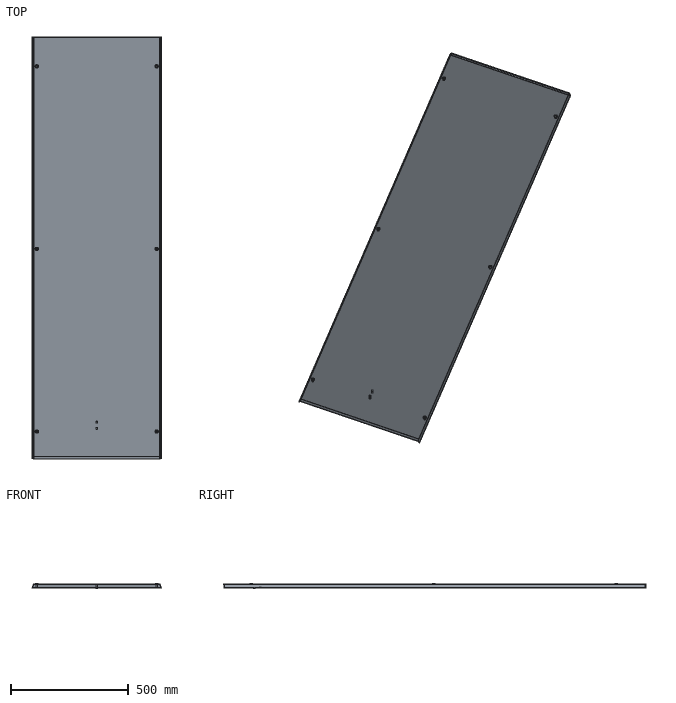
import cadquery as cq

overall_width = 549.88
overall_length = 1796.01
overall_height = 22.5
sheet = 1.0

panel_depth = 16.0
flange_lean = 6.0
flange_setback = 2.0
hem_depth = 11.5
rear_wall_inset = 2.0

head_height = 3.0
head_base_radius = 7.0
head_top_radius = 4.0
shank_radius = 3.5
shank_length = 15.0
screw_half_span = 255.0
screw_pitch = 777.0
middle_screw_y = -4.0

stud_radius = 4.0
long_stud_y = -768.0
stud_spacing = 27.0
short_stud_drop = 13.0

half_width = overall_width / 2
half_top = half_width - flange_lean
front_y = -overall_length / 2
rear_y = overall_length / 2
long_stud_drop = overall_height - head_height
screw_points = [
    (side * screw_half_span, middle_screw_y + step * screw_pitch)
    for side in (-1, 1)
    for step in (-1, 0, 1)
]


def extrude_along_y(points, start_y, end_y):
    """Extrude a closed XZ outline from start_y to end_y."""
    outline = cq.Workplane("XZ", origin=(0, start_y, 0)).polyline(points).close()
    return outline.extrude(start_y - end_y)


def make_top_sheet():
    size_y = rear_y - front_y
    return cq.Workplane("XY").box(2 * half_top, size_y, sheet).translate((0, 0, -sheet / 2))


def make_side_flange(side):
    """Leaning flange on the -X (side = -1) or +X (side = 1) edge."""
    points = [
        (side * half_top, 0),
        (side * half_width, -panel_depth),
        (side * (half_width - sheet), -panel_depth),
        (side * (half_top - sheet), -sheet),
        (side * (half_top - sheet), 0),
    ]
    return extrude_along_y(points, front_y + flange_setback, rear_y)


def make_rear_wall():
    """Wall across the rear end that fills the space between the flanges."""
    points = [
        (-half_top, 0),
        (half_top, 0),
        (half_width, -panel_depth),
        (-half_width, -panel_depth),
    ]
    wall_rear_y = rear_y - rear_wall_inset
    return extrude_along_y(points, wall_rear_y - sheet, wall_rear_y)


def make_front_hem():
    hem = cq.Workplane("XY").box(2 * (half_top - sheet), hem_depth, sheet)
    return hem.translate((0, front_y + hem_depth / 2, -1.5 * sheet))


def make_stud(y, drop):
    """Stud welded under the sheet, reaching down to Z = -drop."""
    base = cq.Workplane("XY", origin=(0, y, -sheet))
    return base.circle(stud_radius).extrude(sheet - drop)


def make_panel():
    panel = make_top_sheet()
    for side in (-1, 1):
        panel = panel.union(make_side_flange(side))
    panel = panel.union(make_rear_wall())
    panel = panel.union(make_front_hem())
    panel = panel.union(make_stud(long_stud_y, long_stud_drop))
    panel = panel.union(make_stud(long_stud_y + stud_spacing, short_stud_drop))
    holes = cq.Workplane("XY").pushPoints(screw_points).circle(shank_radius).extrude(-sheet)
    return panel.cut(holes)


def make_screw(x, y):
    """Tapered head resting on the panel, with a shank through its hole."""
    head = (
        cq.Workplane("XY")
        .circle(head_base_radius)
        .workplane(offset=head_height)
        .circle(head_top_radius)
        .loft()
    )
    shank = cq.Workplane("XY").circle(shank_radius).extrude(-shank_length)
    return head.union(shank).translate((x, y, 0))


panel = make_panel()
screws = [make_screw(x, y) for x, y in screw_points]

result = cq.Compound.makeCompound([panel.val(), *[screw.val() for screw in screws]])